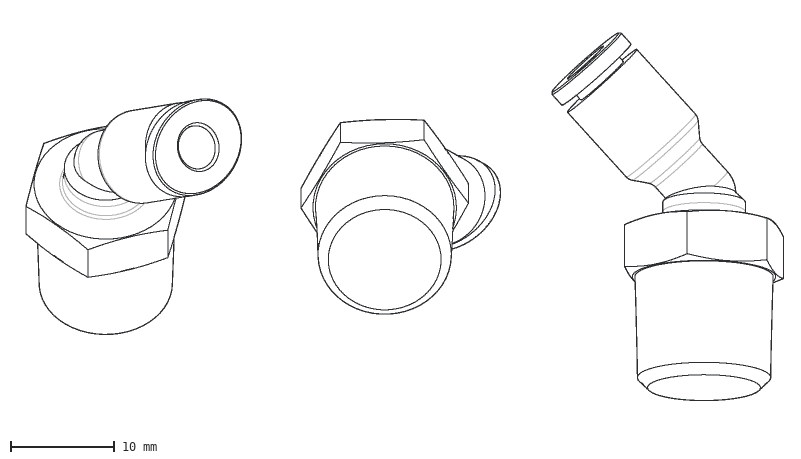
import cadquery as cq
import math

thread_low_radius = 6.45
thread_top_radius = 6.68
thread_chamfer = 1.0

hex_sides = 6
hex_flats = 14.0
hex_bottom = 11.0
hex_top = 16.0
hex_chamfer_radius = 6.92
hex_chamfer_angle = 20

collar_radius = 4.0
collar_foot_radius = 4.2
collar_fillet = 0.27
collar_taper_top = 17.4
collar_top = 18.35

elbow_radius = 3.1
elbow_height = collar_top + collar_radius - elbow_radius
branch_tilt = 45
shoulder_start = 3.97
shoulder_end = 5.85
socket_radius = 4.52
socket_end = 14.65
shoulder_round = 1.0

button_neck_radius = 2.78
button_start = 15.5
button_end = 17.05
button_half_width = 4.28
button_half_length = 5.4
button_chamfer = 0.17

bore_radius = 2.1
bore_chamfer = 0.27
bore_bottom = shoulder_end

selection_margin = 0.05


def revolved(profile):
    """Solid of revolution about Z from (radius, height) points, closed on the axis."""
    points = [(0, profile[0][1])] + profile + [(0, profile[-1][1])]
    return cq.Workplane("XZ").polyline(points).close().revolve(360, (0, 0), (0, 1))


def edges_within(radius, low, high):
    """Selector for edges no farther than radius from Z, between two heights."""
    reach = radius + selection_margin
    return cq.selectors.BoxSelector(
        (-reach, -reach, low - selection_margin),
        (reach, reach, high + selection_margin),
        boundingbox=True,
    )


def thread():
    return revolved([
        (thread_low_radius - thread_chamfer, 0),
        (thread_low_radius, thread_chamfer),
        (thread_top_radius, hex_bottom),
    ])


def hexagon():
    corner_radius = hex_flats / 2 / math.cos(math.pi / hex_sides)
    prism = (
        cq.Workplane("XY")
        .workplane(offset=hex_bottom)
        .polygon(hex_sides, 2 * corner_radius)
        .extrude(hex_top - hex_bottom)
    )
    drop = (corner_radius - hex_chamfer_radius) * math.tan(math.radians(hex_chamfer_angle))
    envelope = revolved([
        (hex_chamfer_radius, hex_bottom),
        (corner_radius, hex_bottom + drop),
        (corner_radius, hex_top - drop),
        (hex_chamfer_radius, hex_top),
    ])
    return prism.intersect(envelope)


def collar():
    return revolved([
        (collar_foot_radius, hex_top),
        (collar_radius, collar_taper_top),
        (collar_radius, collar_top),
        (elbow_radius, elbow_height),
    ])


def filleted_nut():
    """Hexagon and collar joined, with a fillet around the foot of the collar."""
    foot_edge = edges_within(collar_foot_radius, hex_top, hex_top)
    return hexagon().union(collar()).edges(foot_edge).fillet(collar_fillet)


def tilted(branch):
    """Lean a branch built up along Z toward +X and seat it on the elbow centre."""
    return branch.rotate((0, 0, 0), (0, 1, 0), branch_tilt).translate((0, 0, elbow_height))


def socket():
    body = revolved([
        (elbow_radius, 0),
        (elbow_radius, shoulder_start),
        (socket_radius, shoulder_end),
        (socket_radius, socket_end),
    ])
    shoulder_edges = edges_within(socket_radius, shoulder_start, shoulder_end)
    return body.edges(shoulder_edges).edges("%CIRCLE").fillet(shoulder_round)


def button():
    neck = cq.Workplane("XY").workplane(offset=socket_end).circle(button_neck_radius)
    neck = neck.extrude(button_end - socket_end)
    flange = (
        cq.Workplane("XY")
        .workplane(offset=button_start)
        .ellipse(button_half_width, button_half_length)
        .extrude(button_end - button_start)
        .faces(">Z")
        .chamfer(button_chamfer)
    )
    return neck.union(flange)


def bore():
    return revolved([
        (bore_radius, bore_bottom),
        (bore_radius, button_end - bore_chamfer),
        (bore_radius + bore_chamfer, button_end),
    ])


elbow = cq.Workplane("XY").sphere(elbow_radius).translate((0, 0, elbow_height))
stem = thread().union(filleted_nut()).union(elbow)
branch = socket().union(button()).cut(bore())
result = stem.union(tilted(branch))